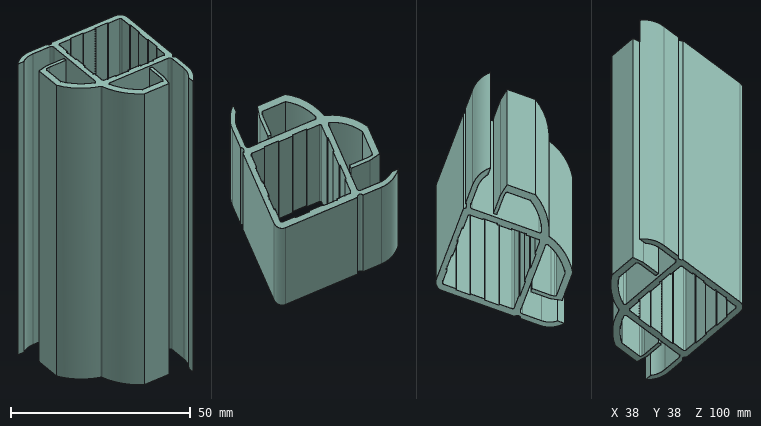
import math

import cadquery as cq

length = 100.0

tube_size = 25.1
tube_wall = 1.9
tube_corner_radius = 2.5
cavity_corner_radius = 0.5

bands_per_side = 5
recess_depth = 0.3

lip_thickness = 1.5
lip_reach = 38.0
lip_outer_radius = 8.4
lip_drop = 3.0
lip_root_radius = 0.8

groove_depth = 0.6
groove_width = 1.6

arm_center_x = 20.3
arm_outer_radius = 17.1
arm_thickness = 2.1
arms_fillet_radius = 0.2
pocket_fillet_radius = 0.5
plate_outer_x = 35.0
plate_thickness = 2.0

finger_start_x = 25.9
finger_bend_x = 31.6
finger_top_y = -8.3
finger_corner_y = -9.0
finger_thickness = 1.0


def other_leg(hypotenuse, leg):
    """Remaining leg of a right triangle."""
    return math.sqrt(hypotenuse**2 - leg**2)


arm_center_y = -tube_size + other_leg(arm_outer_radius, tube_size - arm_center_x)
arm_inner_radius = arm_outer_radius - arm_thickness
plate_inner_x = plate_outer_x - plate_thickness
plate_inner_top_y = finger_corner_y - finger_thickness / 2


def arm_y(radius, x):
    """Y coordinate, at x, of an arm arc of the given radius."""
    return arm_center_y - other_leg(radius, x - arm_center_x)


def make_tube():
    tube = cq.Workplane("XY").rect(tube_size, -tube_size, centered=False).extrude(length)
    return tube.edges("|Z and <X and >Y").fillet(tube_corner_radius)


def make_cavity():
    side = tube_size - 2 * tube_wall
    band = side / bands_per_side
    recessed_side = side + 2 * recess_depth
    middle = cq.Workplane("XY", origin=(tube_size / 2, -tube_size / 2, 0))
    cavity = middle.rect(side, side).extrude(length).edges("|Z").fillet(cavity_corner_radius)
    for offset in (-band, band):
        cavity = cavity.union(middle.center(offset, 0).rect(band, recessed_side).extrude(length))
        cavity = cavity.union(middle.center(0, offset).rect(recessed_side, band).extrude(length))
    return cavity


def make_lip():
    straight_end = lip_reach - other_leg(lip_outer_radius, lip_outer_radius - lip_drop)
    root_x = tube_size - tube_wall / 2
    bend_angle = math.acos(1 - lip_drop / lip_outer_radius)
    inner_radius = lip_outer_radius - lip_thickness
    inner_angle = math.acos((lip_outer_radius - lip_drop) / inner_radius)

    def bend_point(radius, angle):
        x = straight_end + radius * math.sin(angle)
        y = radius * math.cos(angle) - lip_outer_radius
        return x, y

    return (
        cq.Workplane("XY")
        .moveTo(root_x, 0)
        .lineTo(straight_end, 0)
        .threePointArc(bend_point(lip_outer_radius, bend_angle / 2), bend_point(lip_outer_radius, bend_angle))
        .lineTo(*bend_point(inner_radius, inner_angle))
        .threePointArc(bend_point(inner_radius, inner_angle / 2), (straight_end, -lip_thickness))
        .lineTo(tube_size + lip_root_radius, -lip_thickness)
        .radiusArc((tube_size, -lip_thickness - lip_root_radius), -lip_root_radius)
        .lineTo(root_x, -lip_thickness - lip_root_radius)
        .close()
        .extrude(length)
    )


def make_groove():
    return (
        cq.Workplane("XY")
        .moveTo(tube_size - groove_width / 2, 0)
        .threePointArc((tube_size, -groove_depth), (tube_size + groove_width / 2, 0))
        .close()
        .extrude(length)
    )


def make_arm():
    root_x = tube_size - tube_wall / 2
    outer_end = (plate_outer_x, arm_y(arm_outer_radius, plate_outer_x))
    inner_root = (root_x, arm_y(arm_inner_radius, root_x))
    inner_end = (plate_inner_x, arm_y(arm_inner_radius, plate_inner_x))
    return (
        cq.Workplane("XY")
        .moveTo(root_x, -tube_size)
        .lineTo(tube_size, -tube_size)
        .radiusArc(outer_end, -arm_outer_radius)
        .lineTo(plate_outer_x, finger_corner_y)
        .lineTo(finger_bend_x, finger_top_y)
        .lineTo(finger_start_x, finger_top_y)
        .lineTo(finger_start_x, finger_top_y - finger_thickness)
        .lineTo(finger_bend_x, finger_top_y - finger_thickness)
        .lineTo(plate_inner_x, plate_inner_top_y)
        .lineTo(*inner_end)
        .radiusArc(inner_root, arm_inner_radius)
        .close()
        .extrude(length)
    )


def mirror_about_diagonal(body):
    diagonal_normal = (1, 1, 0)
    return body.mirror(diagonal_normal)


def fillet_upright_edge(body, x, y, radius):
    return body.edges(cq.NearestToPointSelector((x, y, length / 2))).fillet(radius)


def fillet_arm_corners(body):
    """Round where the two arms meet, and the ends of each pocket between arm and tube."""
    body = fillet_upright_edge(body, tube_size, -tube_size, arms_fillet_radius)
    pocket_root_y = arm_y(arm_inner_radius, tube_size)
    for x, y in ((tube_size, pocket_root_y), (plate_inner_x, plate_inner_top_y)):
        body = fillet_upright_edge(body, x, y, pocket_fillet_radius)
        body = fillet_upright_edge(body, -y, -x, pocket_fillet_radius)
    return body


fitting = make_lip().union(make_arm())
groove = make_groove()
solid_section = make_tube().union(fitting).union(mirror_about_diagonal(fitting))

result = (
    fillet_arm_corners(solid_section)
    .cut(make_cavity())
    .cut(groove)
    .cut(mirror_about_diagonal(groove))
)